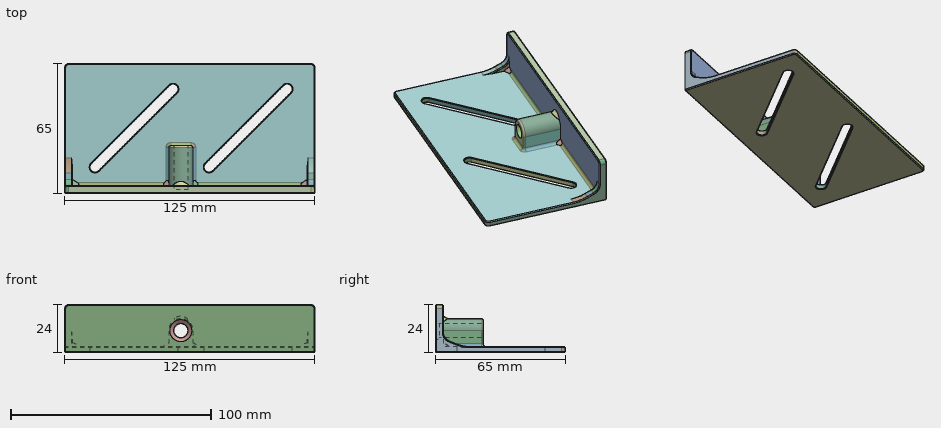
import cadquery as cq
import math

length = 125.0
depth = 65.0
height = 24.0
plate_thickness = 3.0
wall_thickness = 4.0
corner_radius = 2.0
edge_chamfer = 0.5
root_radius = 1.5

boss_x = -4.5
boss_axis_z = 11.0
boss_radius = 6.0
boss_end_y = 24.0
boss_end_radius = 1.0
hole_diameter = 7.0
countersink_diameter = 11.0
countersink_angle = 90

cone_radius = 4.5
cone_axis_z = 13.8
cone_half_angle = 30

slot_width = 5.0
slot_chamfer = 0.4
slot_span_x = 39.0
slot_angle = 45
slot_pitch = 57.0
slot_pair_x = 0.6
slot_middle_y = 32.8

gusset_width = 4.0
gusset_run = 10.0
gusset_rise = 4.0
gusset_plate_radius = 20.0
gusset_wall_radius = 5.0

fill_height = 2.0
boss_fill_reach = 3.8
gusset_fill_reach_x = 4.8
gusset_fill_reach_y = 3.0

embed = 1.0


def make_plate():
    plate = cq.Workplane("XY").box(length, depth, plate_thickness, centered=(True, False, False))
    return plate.edges("|Z and >Y").fillet(corner_radius)


def make_wall():
    wall = cq.Workplane("XY").box(length, wall_thickness, height, centered=(True, False, False))
    return wall.edges("|Y and >Z").fillet(corner_radius)


def make_gussets():
    """Concave gussets at both ends, chamfered along their inward top edge."""
    slope = math.atan2(gusset_rise, gusset_run)
    toe_y = wall_thickness + gusset_run
    top_z = plate_thickness + gusset_rise
    plate_tangent = gusset_plate_radius * math.tan(slope / 2)
    wall_tangent = gusset_wall_radius * math.tan((math.pi / 2 - slope) / 2)
    plate_end_y = toe_y + plate_tangent
    wall_end_z = top_z + wall_tangent
    slope_start_y = toe_y - plate_tangent * math.cos(slope)
    slope_start_z = plate_thickness + plate_tangent * math.sin(slope)
    slope_end_y = wall_thickness + wall_tangent * math.cos(slope)
    slope_end_z = top_z - wall_tangent * math.sin(slope)
    gusset = (
        cq.Workplane("YZ")
        .moveTo(wall_thickness - embed, plate_thickness - embed)
        .lineTo(plate_end_y, plate_thickness - embed)
        .lineTo(plate_end_y, plate_thickness)
        .radiusArc((slope_start_y, slope_start_z), gusset_plate_radius)
        .lineTo(slope_end_y, slope_end_z)
        .radiusArc((wall_thickness, wall_end_z), gusset_wall_radius)
        .lineTo(wall_thickness - embed, wall_end_z)
        .close()
        .extrude(gusset_width)
    )
    gusset = gusset.faces(">X").edges("not (|Y or |Z)").chamfer(edge_chamfer)
    gusset = gusset.translate((-length / 2, 0, 0))
    return gusset.union(gusset.mirror("YZ"))


def make_boss():
    """Boss with a round top and straight sides running down into the plate."""
    boss = (
        cq.Workplane("XZ", origin=(boss_x, embed, 0))
        .moveTo(-boss_radius, embed)
        .lineTo(-boss_radius, boss_axis_z)
        .threePointArc((0, boss_axis_z + boss_radius), (boss_radius, boss_axis_z))
        .lineTo(boss_radius, embed)
        .close()
        .extrude(-(boss_end_y - embed))
    )
    return boss.faces(">Y").edges("not <Z").fillet(boss_end_radius)


def fillet_roots(body):
    """Round the foot of the wall between the gussets and the foot of the boss."""
    margin = 0.1
    floor_low = plate_thickness - margin
    floor_high = plate_thickness + margin
    inner_x = length / 2 - gusset_width + margin
    boss_reach = boss_radius + margin
    wall_foot = cq.selectors.BoxSelector(
        (-inner_x, wall_thickness - margin, floor_low),
        (inner_x, wall_thickness + margin, floor_high),
    )
    boss_foot = cq.selectors.BoxSelector(
        (boss_x - boss_reach, wall_thickness, floor_low),
        (boss_x + boss_reach, boss_end_y + margin, floor_high),
    )
    return body.edges(wall_foot + boss_foot).fillet(root_radius)


def make_cone():
    cone_length = cone_radius / math.tan(math.radians(cone_half_angle))
    base = cq.Vector(boss_x, wall_thickness, cone_axis_z)
    return cq.Workplane(cq.Solid.makeCone(cone_radius, 0, cone_length, base, cq.Vector(0, 1, 0)))


def make_corner_fill(corner_x, reach_x, reach_y):
    """Pyramid in the corner at corner_x; a negative reach_x points it towards -X."""
    corner = cq.Vector(corner_x, wall_thickness, plate_thickness)
    along_wall = corner + cq.Vector(reach_x, 0, 0)
    along_side = corner + cq.Vector(0, reach_y, 0)
    apex = corner + cq.Vector(0, 0, fill_height)
    triangles = [
        (corner, along_wall, along_side),
        (corner, along_wall, apex),
        (corner, along_side, apex),
        (along_wall, along_side, apex),
    ]
    faces = [cq.Face.makeFromWires(cq.Wire.makePolygon(points, close=True)) for points in triangles]
    return cq.Workplane(cq.Solid.makeSolid(cq.Shell.makeShell(faces)))


def make_hole():
    """Through hole along the boss axis, countersunk in the front face."""
    front = cq.Vector(boss_x, 0, boss_axis_z)
    inward = cq.Vector(0, 1, 0)
    hole_radius = hole_diameter / 2
    countersink_radius = countersink_diameter / 2
    countersink_depth = (countersink_radius - hole_radius) / math.tan(math.radians(countersink_angle / 2))
    bore = cq.Solid.makeCylinder(hole_radius, boss_end_y, front, inward)
    countersink = cq.Solid.makeCone(countersink_radius, hole_radius, countersink_depth, front, inward)
    return cq.Workplane(bore).union(cq.Workplane(countersink))


def make_slot(middle_x):
    """Straight slot whose top and bottom rims are chamfered."""
    slot_length = slot_span_x / math.cos(math.radians(slot_angle)) + slot_width
    rim_growth = 2 * slot_chamfer
    slot = (
        cq.Workplane("XY", origin=(middle_x, slot_middle_y, 0))
        .slot2D(slot_length, slot_width, slot_angle)
        .extrude(plate_thickness)
    )
    bottom_rim = (
        cq.Workplane("XY", origin=(middle_x, slot_middle_y, 0))
        .slot2D(slot_length + rim_growth, slot_width + rim_growth, slot_angle)
        .extrude(slot_chamfer, taper=45)
    )
    top_rim = bottom_rim.mirror("XY").translate((0, 0, plate_thickness))
    return slot.union(bottom_rim).union(top_rim)


body = make_plate().union(make_wall()).union(make_gussets())
body = body.faces("<X or >X or <Y or >Y or <Z or >Z").edges().chamfer(edge_chamfer)

body = fillet_roots(body.union(make_boss()))
body = body.union(make_cone())
for side in (-1, 1):
    boss_side_x = boss_x + side * boss_radius
    gusset_side_x = side * (length / 2 - gusset_width)
    body = body.union(make_corner_fill(boss_side_x, side * boss_fill_reach, boss_fill_reach))
    body = body.union(make_corner_fill(gusset_side_x, -side * gusset_fill_reach_x, gusset_fill_reach_y))

body = body.cut(make_hole())
for side in (-1, 1):
    body = body.cut(make_slot(slot_pair_x + side * slot_pitch / 2))

result = body